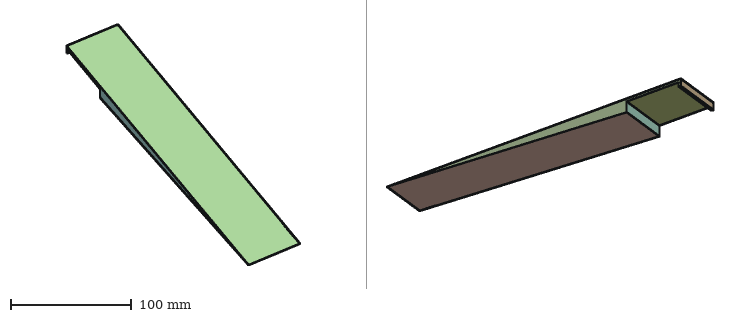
import cadquery as cq

length = 290.0
width = 50.0
height = 16.0

overhang = 53.5
plate_thickness = 3.0
lip_thickness = 2.0
lip_height = 7.0

top_slope = height / length


def top_height(x):
    """Height of the sloping top face at distance x from the lip."""
    return height - top_slope * x


def plate_underside(x):
    """Height of the overhanging plate's underside, parallel to the top."""
    return top_height(x) - plate_thickness


profile = [
    (0, height),
    (length, 0),
    (overhang, 0),
    (overhang, plate_underside(overhang)),
    (lip_thickness, plate_underside(lip_thickness)),
    (lip_thickness, height - lip_height),
    (0, height - lip_height),
]

result = cq.Workplane("XZ").polyline(profile).close().extrude(-width)